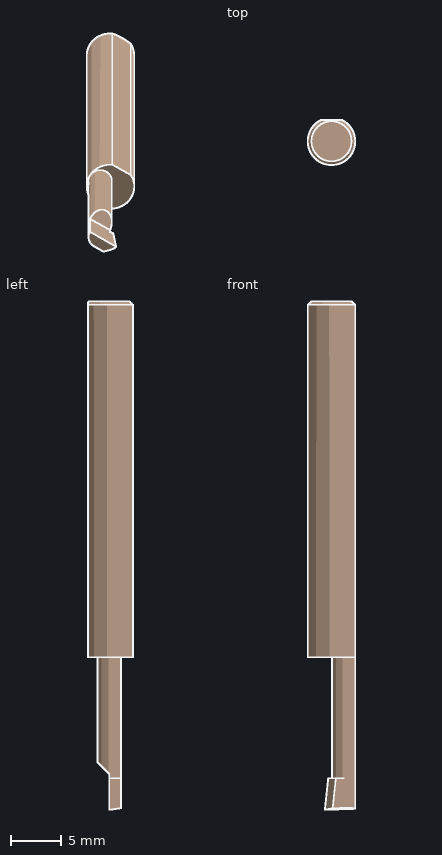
import cadquery as cq
import math

shank_diameter = 4.7625
total_length = 50.8
neck_length = 15.24
shank_flat_y = 2.13
shank_chamfer = 0.38
neck_diameter = 2.35
relief_length = 3.57
tip_height = 3.175
edge_tilt = 6.0
end_dish = 2.0
end_clearance = 7.0

cutting_edge_x = -0.34
clearance_angle = 15.0
heel_x = 0.11
heel_y = -0.80
bevel_x = 0.43

shank_radius = shank_diameter / 2
neck_radius = neck_diameter / 2
neck_x = shank_radius - neck_radius
lean_at_end = tip_height * math.tan(math.radians(edge_tilt))
corner_x = cutting_edge_x - lean_at_end
tip_back_y = -neck_radius


def make_shank():
    shank = (
        cq.Workplane("XY", origin=(0, 0, neck_length))
        .circle(shank_radius)
        .extrude(total_length - neck_length)
        .faces(">Z")
        .chamfer(shank_chamfer)
    )
    flat_cutter = (
        cq.Workplane("XY", origin=(0, shank_flat_y, neck_length))
        .rect(shank_diameter, shank_diameter)
        .extrude(total_length - neck_length)
        .translate((0, shank_diameter / 2, 0))
    )
    return shank.cut(flat_cutter)


def make_neck():
    """Round neck, halved near the tip with a 45 degree run-out."""
    neck = cq.Workplane("XY").center(neck_x, 0).circle(neck_radius).extrude(neck_length)
    relief = (
        cq.Workplane("YZ")
        .polyline([
            (0, 0),
            (neck_diameter, 0),
            (neck_diameter, relief_length + neck_diameter),
            (0, relief_length),
        ])
        .close()
        .extrude(shank_radius, both=True)
    )
    return neck.cut(relief.translate((neck_x, 0, 0)))


def tip_outline(z, lean):
    """Closed tip outline at height z, with its leaning side moved by lean toward -X."""
    edge = cq.Vector(cutting_edge_x - lean, 0, z)
    heel = cq.Vector(heel_x - lean, heel_y, z)
    bevel = cq.Vector(bevel_x - lean, tip_back_y, z)
    back = cq.Vector(neck_x, tip_back_y, z)
    root = cq.Vector(neck_x, 0, z)
    clearance = math.radians(clearance_angle)
    clearance_direction = cq.Vector(math.sin(clearance), -math.cos(clearance), 0)
    return cq.Wire.assembleEdges([
        cq.Edge.makeTangentArc(edge, clearance_direction, heel),
        cq.Edge.makeLine(heel, bevel),
        cq.Edge.makeLine(bevel, back),
        cq.Edge.makeLine(back, root),
        cq.Edge.makeLine(root, edge),
    ])


def make_tip():
    outlines = [tip_outline(0, lean_at_end), tip_outline(tip_height, 0)]
    return cq.Workplane(cq.Solid.makeLoft(outlines, True))


def make_end_cutter():
    """Block under the sloping end face, which passes through the cutting corner."""
    dish_slope = math.tan(math.radians(end_dish))
    clearance_slope = math.tan(math.radians(end_clearance))
    end_plane = cq.Plane(
        origin=(corner_x, 0, 0),
        xDir=(1, 0, dish_slope),
        normal=(-dish_slope, clearance_slope, 1),
    )
    block_size = 2 * shank_diameter
    return cq.Workplane(end_plane).rect(block_size, block_size).extrude(-neck_diameter)


result = make_shank().union(make_neck()).union(make_tip()).cut(make_end_cutter())